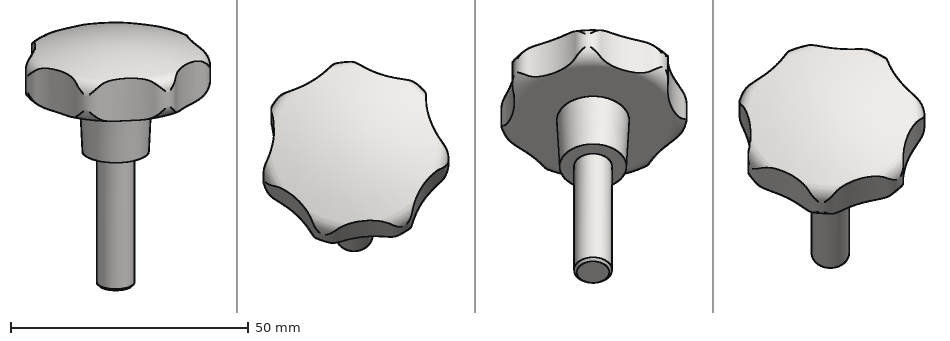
import cadquery as cq
import math

total_height = 55.0
rim_top = 52.45
head_bottom = 43.05
hub_bottom = 30.05

lobe_count = 7
head_radius = 20.0
lobe_tip_radius = 3.5
valley_radius = 17.05
dome_edge_radius = 17.55
rim_round = 3.4

hub_top_radius = 7.65
hub_bottom_radius = 7.05
stud_radius = 4.0
stud_tip_chamfer = 0.6

half_pitch = math.pi / lobe_count
lobe_center_distance = head_radius - lobe_tip_radius
radius_offset = valley_radius - lobe_tip_radius
scallop_center_distance = (lobe_center_distance**2 - radius_offset**2) / (
    2 * (lobe_center_distance * math.cos(half_pitch) - radius_offset)
)
scallop_radius = scallop_center_distance - valley_radius


def polar(radius, angle):
    return radius * math.cos(angle), radius * math.sin(angle)


def tangent_point(lobe_angle, scallop_angle):
    """Point where a lobe tip arc meets the neighbouring scallop arc."""
    lobe_x, lobe_y = polar(lobe_center_distance, lobe_angle)
    scallop_x, scallop_y = polar(scallop_center_distance, scallop_angle)
    share = lobe_tip_radius / (lobe_tip_radius + scallop_radius)
    return lobe_x + share * (scallop_x - lobe_x), lobe_y + share * (scallop_y - lobe_y)


def lobed_prism():
    first_lobe_angle = -math.pi / 2
    outline = cq.Workplane("XY").moveTo(
        *tangent_point(first_lobe_angle, first_lobe_angle - half_pitch)
    )
    for index in range(lobe_count):
        lobe_angle = first_lobe_angle + 2 * index * half_pitch
        scallop_angle = lobe_angle + half_pitch
        next_lobe_angle = scallop_angle + half_pitch
        outline = outline.threePointArc(
            polar(head_radius, lobe_angle), tangent_point(lobe_angle, scallop_angle)
        ).threePointArc(
            polar(valley_radius, scallop_angle), tangent_point(next_lobe_angle, scallop_angle)
        )
    return outline.close().extrude(total_height)


def domed_disc():
    """Round head blank whose rim is rounded above and below."""
    diagonal = math.sqrt(0.5)
    round_center = head_radius - rim_round
    edge_angle = math.acos((dome_edge_radius - round_center) / rim_round)
    upper_center_z = rim_top - rim_round * math.sin(edge_angle)
    upper_mid_x, upper_mid_z = polar(rim_round, edge_angle / 2)
    lower_center_z = head_bottom + rim_round

    dome_rise = total_height - rim_top
    dome_radius = (dome_edge_radius**2 + dome_rise**2) / (2 * dome_rise)
    half_cap_angle = math.asin(dome_edge_radius / dome_radius) / 2
    dome_mid = (
        dome_radius * math.sin(half_cap_angle),
        total_height - dome_radius * (1 - math.cos(half_cap_angle)),
    )
    return (
        cq.Workplane("XZ")
        .moveTo(0, head_bottom)
        .lineTo(round_center, head_bottom)
        .threePointArc(
            (round_center + rim_round * diagonal, lower_center_z - rim_round * diagonal),
            (head_radius, lower_center_z),
        )
        .lineTo(head_radius, upper_center_z)
        .threePointArc(
            (round_center + upper_mid_x, upper_center_z + upper_mid_z),
            (dome_edge_radius, rim_top),
        )
        .threePointArc(dome_mid, (0, total_height))
        .close()
        .revolve()
    )


def hub_and_stud():
    profile = [
        (0, 0),
        (stud_radius - stud_tip_chamfer, 0),
        (stud_radius, stud_tip_chamfer),
        (stud_radius, hub_bottom),
        (hub_bottom_radius, hub_bottom),
        (hub_top_radius, head_bottom),
        (0, head_bottom),
    ]
    return cq.Workplane("XZ").polyline(profile).close().revolve()


head = domed_disc().intersect(lobed_prism())
result = head.union(hub_and_stud())